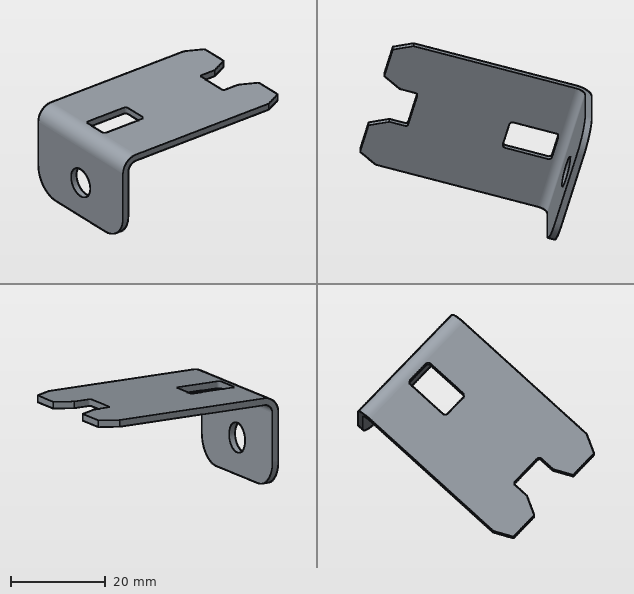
import cadquery as cq

width = 29.0
plate_length = 43.28
flange_height = 20.13
thickness = 1.5

bend_inner_radius = 2.0
bend_outer_radius = bend_inner_radius + thickness

flange_corner_radius = 6.0
flange_hole_diameter = 6.5
flange_hole_drop = 12.0

notch_width = 8.0
notch_depth = 8.0
notch_corner_radius = 0.5
prong_taper_width = 2.0
prong_taper_length = 4.0

window_width = 6.2
window_length = 10.8
window_start = 3.9
window_corner_radius = 0.7

half_width = width / 2
half_notch = notch_width / 2


def bent_sheet():
    """L-shaped strip of constant thickness with a rounded bend."""
    profile = (
        cq.Workplane("YZ")
        .moveTo(plate_length, 0)
        .lineTo(bend_outer_radius, 0)
        .radiusArc((0, -bend_outer_radius), -bend_outer_radius)
        .lineTo(0, -flange_height)
        .lineTo(thickness, -flange_height)
        .lineTo(thickness, -bend_outer_radius)
        .radiusArc((bend_outer_radius, -thickness), bend_inner_radius)
        .lineTo(plate_length, -thickness)
        .close()
    )
    return profile.extrude(half_width, both=True)


def through_plate(sketch):
    """Extrude a sketch on the top face down through the plate."""
    return sketch.extrude(-thickness)


def notch_cutter():
    """Notch between the prongs, with small rounded inner corners."""
    notch = through_plate(
        cq.Workplane("XY")
        .center(0, plate_length - notch_depth / 2)
        .rect(notch_width, notch_depth)
    )
    return notch.edges("|Z and <Y").fillet(notch_corner_radius)


def taper_cutter(edge_x, inward):
    """Triangle that tapers one side of a prong; inward is +1 or -1 along X."""
    return through_plate(
        cq.Workplane("XY")
        .moveTo(edge_x, plate_length - prong_taper_length)
        .lineTo(edge_x + inward * prong_taper_width, plate_length)
        .lineTo(edge_x, plate_length)
        .close()
    )


def window_cutter():
    """Rounded rectangular window through the plate."""
    window = through_plate(
        cq.Workplane("XY")
        .center(0, window_start + window_length / 2)
        .rect(window_width, window_length)
    )
    return window.edges("|Z").fillet(window_corner_radius)


def flange_hole_cutter():
    """Round hole through the flange."""
    return (
        cq.Workplane("XZ")
        .center(0, -flange_hole_drop)
        .circle(flange_hole_diameter / 2)
        .extrude(-thickness)
    )


bracket = bent_sheet().edges("|Y and <Z").fillet(flange_corner_radius)
bracket = bracket.cut(notch_cutter())
for side in (-1, 1):
    bracket = bracket.cut(taper_cutter(side * half_width, -side))
    bracket = bracket.cut(taper_cutter(side * half_notch, side))
bracket = bracket.cut(window_cutter())
result = bracket.cut(flange_hole_cutter())